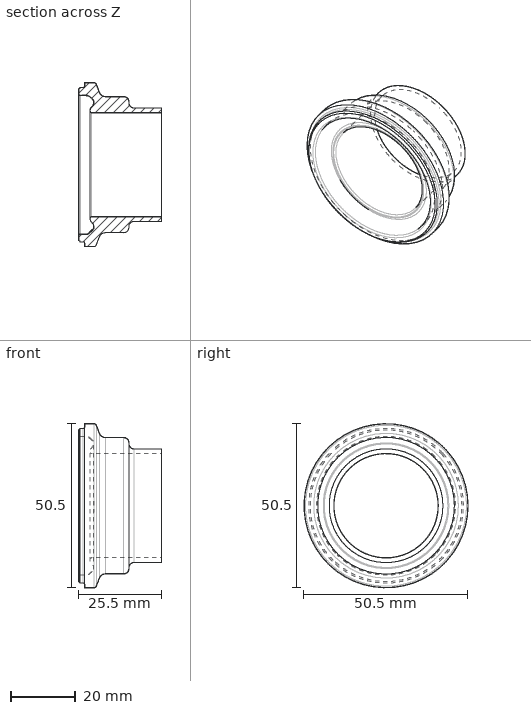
import cadquery as cq
import math

length = 25.5
flange_front = 1.8
flange_rim_end = 4.75
body_start = 8.25
shoulder = 15.5

lip_radius = 47.6 / 2
flange_radius = 50.5 / 2
body_radius = 42.0 / 2
tube_radius = 35.0 / 2
bore_radius = 32.0 / 2

lip_chamfer = 0.48
lip_root_fillet = 0.45
rim_round = 0.75
flange_back_angle = math.radians(21)
shoulder_round = 1.65
tube_root_fillet = 1.5

mouth_radius = 21.3
mouth_round = 0.55
trough_depth = 4.5
trough_radius = 19.8
trough_wall_depth = 3.05
trough_wall_radius = 21.15
nose_face = 3.5
nose_outer_round = 1.05
nose_flat_radius = 16.8
bore_mouth_round = 0.5


def arc_point(center, radius, angle):
    """Point (x, r) on a circle, with the angle measured from the outward radial direction toward +X."""
    return (center[0] + radius * math.sin(angle), center[1] + radius * math.cos(angle))


quarter = math.pi / 2
eighth = math.pi / 4

cone_normal = quarter - flange_back_angle
rim_center = (flange_rim_end, flange_radius - rim_round)
center_dx = body_start - flange_rim_end
center_dr = body_radius - rim_center[1]
body_fillet = (
    (center_dx * math.sin(cone_normal) + center_dr * math.cos(cone_normal) - rim_round)
    / (1 - math.cos(cone_normal))
)
body_center = (body_start, body_radius + body_fillet)

lip_root_center = (flange_front - lip_root_fillet, lip_radius + lip_root_fillet)
shoulder_center = (shoulder - shoulder_round, body_radius - shoulder_round)
tube_root_center = (shoulder + tube_root_fillet, tube_radius + tube_root_fillet)
bore_round_center = (nose_face + bore_mouth_round, bore_radius + bore_mouth_round)
nose_center = (nose_face + nose_outer_round, nose_flat_radius)
mouth_round_center = (mouth_round, mouth_radius + mouth_round)
nose_start = arc_point(nose_center, nose_outer_round, -eighth)

outside = (
    cq.Workplane("XY")
    .moveTo(0, mouth_radius + mouth_round)
    .lineTo(0, lip_radius - lip_chamfer)
    .lineTo(lip_chamfer, lip_radius)
    .lineTo(lip_root_center[0], lip_radius)
    .threePointArc(
        arc_point(lip_root_center, lip_root_fillet, math.pi - eighth),
        arc_point(lip_root_center, lip_root_fillet, quarter),
    )
    .lineTo(flange_front, flange_radius)
    .lineTo(flange_rim_end, flange_radius)
    .threePointArc(
        arc_point(rim_center, rim_round, cone_normal / 2),
        arc_point(rim_center, rim_round, cone_normal),
    )
    .lineTo(*arc_point(body_center, body_fillet, math.pi + cone_normal))
    .threePointArc(
        arc_point(body_center, body_fillet, math.pi + cone_normal / 2),
        (body_start, body_radius),
    )
    .lineTo(shoulder_center[0], body_radius)
    .threePointArc(
        arc_point(shoulder_center, shoulder_round, eighth),
        arc_point(shoulder_center, shoulder_round, quarter),
    )
    .lineTo(shoulder, tube_root_center[1])
    .threePointArc(
        arc_point(tube_root_center, tube_root_fillet, math.pi + eighth),
        (tube_root_center[0], tube_radius),
    )
    .lineTo(length, tube_radius)
)

section = (
    outside.lineTo(length, bore_radius)
    .lineTo(bore_round_center[0], bore_radius)
    .threePointArc(
        arc_point(bore_round_center, bore_mouth_round, -3 * eighth),
        (nose_face, bore_round_center[1]),
    )
    .lineTo(nose_face, nose_flat_radius)
    .threePointArc(arc_point(nose_center, nose_outer_round, -1.5 * eighth), nose_start)
    .spline(
        [
            (trough_depth, trough_radius),
            (trough_wall_depth, trough_wall_radius),
            (mouth_round, mouth_radius),
        ],
        tangents=[(1, 1), (-1, 0)],
        includeCurrent=True,
    )
    .threePointArc(
        arc_point(mouth_round_center, mouth_round, math.pi + eighth),
        (0, mouth_radius + mouth_round),
    )
    .close()
)

result = section.revolve(360, (0, 0, 0), (1, 0, 0))